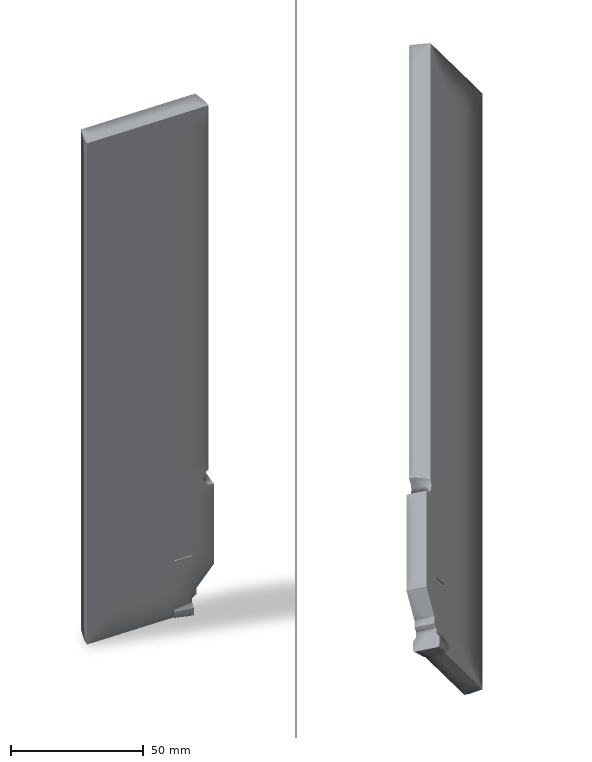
import cadquery as cq
import math

total_length = 250.8
total_depth = 53.0
blade_thickness = 8.3
blade_bottom = 1.3
shank_depth = 50.7
bevel_depth = 1.5
bevel_width = 6.0

shoulder_z = 61.7
notch_radius = 4.0
notch_y = 52.5
head_slope_top = 21.5

insert_back = 36.4
insert_face = 44.0
insert_bulge_y = 45.6
bulge_bottom = 9.3
bulge_top = 22.5
bulge_slope = 1.3
insert_top = 29.0
end_gap = 0.5
relief_rise = 1.0
head_slope_end = 12.3

cutting_width = 11.0
cutting_back_width = 9.5
cutting_head_top = 4.3
flare_height = 1.8
flare_overhang = 2.5
corner_chamfer = 0.5

half_blade = blade_thickness / 2


def extrude_side(points, width):
    """Extrude a Y-Z outline symmetrically about the X mid-plane."""
    return cq.Workplane("YZ").polyline(points).close().extrude(width / 2, both=True)


def insert_outline(top):
    """Y-Z outline of the insert, with its end at the given height."""
    return [
        (insert_back, relief_rise),
        (insert_face, 0),
        (insert_face, bulge_bottom - bulge_slope),
        (insert_bulge_y, bulge_bottom),
        (insert_bulge_y, bulge_top),
        (insert_face, bulge_top + bulge_slope),
        (insert_face, top),
        (insert_back, top),
    ]


def make_blade():
    notch_z = shoulder_z + notch_radius

    bevel_end = -half_blade + bevel_width
    shank = (
        cq.Workplane("XY", origin=(0, 0, blade_bottom))
        .polyline([
            (-half_blade, bevel_depth),
            (bevel_end, 0),
            (half_blade, 0),
            (half_blade, shank_depth),
            (bevel_end, shank_depth),
            (-half_blade, shank_depth - bevel_depth),
        ])
        .close()
        .extrude(total_length - blade_bottom)
    )

    mid_depth = total_depth / 2
    head = extrude_side([
        (mid_depth, blade_bottom),
        (insert_back, blade_bottom),
        (insert_back, head_slope_end),
        (insert_bulge_y, head_slope_end),
        (total_depth, head_slope_top),
        (total_depth, shoulder_z),
        (notch_y, shoulder_z),
        (notch_y, notch_z),
        (mid_depth, notch_z),
    ], blade_thickness)

    below_head = extrude_side([
        (insert_back, blade_bottom),
        (insert_back, head_slope_end),
        (insert_bulge_y, head_slope_end),
        (total_depth, head_slope_top),
        (total_depth, blade_bottom),
    ], blade_thickness)

    notch = (
        cq.Workplane("YZ")
        .center(notch_y, notch_z)
        .circle(notch_radius)
        .extrude(half_blade, both=True)
    )

    pocket = extrude_side(insert_outline(insert_top + end_gap), blade_thickness)
    return shank.cut(below_head).union(head).cut(notch).cut(pocket)


def head_plan(base_z, overhang):
    """Tapered plan outline, prolonged by the overhang at both ends."""
    half_face = cutting_width / 2
    half_back = cutting_back_width / 2
    extra = overhang * (half_face - half_back) / (insert_face - insert_back)
    return (
        cq.Workplane("XY", origin=(0, 0, base_z))
        .polyline([
            (-half_back + extra, insert_back - overhang),
            (half_back - extra, insert_back - overhang),
            (half_face + extra, insert_face + overhang),
            (-half_face - extra, insert_face + overhang),
        ])
        .close()
    )


def make_cutting_head():
    """Head that narrows toward its back, with sloped flares down from the insert body."""
    relief = extrude_side([
        (insert_back, 0),
        (insert_face, 0),
        (insert_back, relief_rise),
    ], cutting_width)
    block = head_plan(0, 0).extrude(cutting_head_top).cut(relief)
    block = block.faces("<Z").edges("not |X").chamfer(corner_chamfer)

    flare_angle = math.degrees(math.atan((cutting_width - blade_thickness) / 2 / flare_height))
    flare = head_plan(cutting_head_top, flare_overhang).extrude(flare_height, taper=flare_angle)
    trim = extrude_side([
        (insert_back, cutting_head_top),
        (insert_face, cutting_head_top),
        (insert_face, cutting_head_top + flare_height),
        (insert_back, cutting_head_top + flare_height),
    ], cutting_width)
    return block.union(flare.intersect(trim))


def make_insert():
    body = extrude_side(insert_outline(insert_top), blade_thickness)
    return body.union(make_cutting_head())


blade = make_blade()
insert = make_insert()
result = cq.Compound.makeCompound([blade.val(), insert.val()])